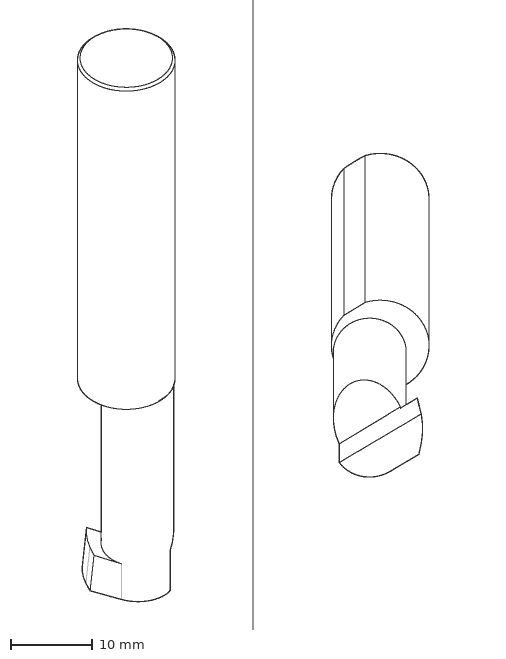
import cadquery as cq
import math

total_length = 83.0
shank_bottom = 32.0

shank_diameter = 12.0
shank_radius = shank_diameter / 2
shank_chamfer = 0.3
shank_flat_y = 5.8

neck_radius = 4.5
neck_x = shank_radius - neck_radius

runout_start = 6.8

head_height = 6.4
tip_x = -shank_radius
relief_end = (-4.0, -3.2)
relief_bulge = 0.2
heel_x = -2.8
side_lean = 0.6

clearance_along_x = 2.0
clearance_along_y = 5.5


def make_shank():
    shank = (
        cq.Workplane("XY", origin=(0, 0, shank_bottom))
        .circle(shank_radius)
        .extrude(total_length - shank_bottom)
        .faces(">Z")
        .chamfer(shank_chamfer)
    )
    beyond_flat = cq.Workplane("XY").box(
        shank_diameter, shank_diameter, total_length, centered=(True, False, False)
    )
    return shank.cut(beyond_flat.translate((0, shank_flat_y, 0)))


def make_neck():
    neck = cq.Workplane("XY").center(neck_x, 0).circle(neck_radius).extrude(shank_bottom)
    runout_end = runout_start + shank_diameter
    chip_space = (
        cq.Workplane("YZ")
        .polyline([(0, 0), (0, runout_start), (shank_diameter, runout_end), (shank_diameter, 0)])
        .close()
        .extrude(shank_diameter, both=True)
    )
    return neck.cut(chip_space)


def draw_head_section(plane, lean):
    """Head outline in plan, with its cutting side moved by lean toward +X."""
    chord_x = relief_end[0] - tip_x
    chord_y = relief_end[1]
    chord = math.hypot(chord_x, chord_y)
    bulge_point = (
        tip_x + chord_x / 2 + relief_bulge * chord_y / chord + lean,
        chord_y / 2 - relief_bulge * chord_x / chord,
    )
    return (
        plane.moveTo(neck_x, 0)
        .lineTo(tip_x + lean, 0)
        .threePointArc(bulge_point, (relief_end[0] + lean, relief_end[1]))
        .lineTo(heel_x + lean, -neck_radius)
        .lineTo(neck_x, -neck_radius)
        .close()
    )


def make_head():
    lower = draw_head_section(cq.Workplane("XY"), 0)
    return draw_head_section(lower.workplane(offset=head_height), side_lean).loft(ruled=True)


def make_bottom_clearance():
    """Block whose tilted top face passes through the cutting tip."""
    block_size = 4 * shank_diameter
    block = cq.Workplane("XY").box(block_size, block_size, block_size, centered=(True, True, False))
    return (
        block.translate((0, 0, -block_size))
        .rotate((0, 0, 0), (1, 0, 0), -clearance_along_y)
        .rotate((0, 0, 0), (0, 1, 0), -clearance_along_x)
        .translate((tip_x, 0, 0))
    )


cutting_end = make_neck().union(make_head()).cut(make_bottom_clearance())
result = make_shank().union(cutting_end)